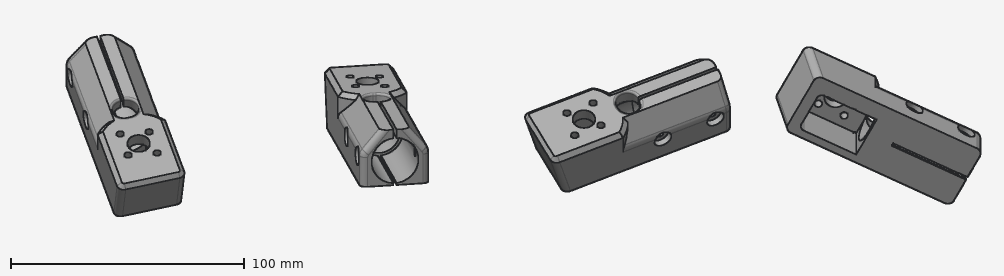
import cadquery as cq
import math

length = 85.25
width = 30.0
height = 25.2
half_width = width / 2
corner_radius = 3.0

neck_flat_width = 13.05
shoulder_height = 15.2
shoulder_radius = 4.7

motor_x = 63.3
head_radius = 18.8
top_chamfer = 2.1
end_undercut = 5.6

bore_z = 11.2
clamp_diameter = 20.4
clamp_depth = 36.0
bore_diameter = 18.0
slit_width = 1.4
opening_x = 42.4
opening_diameter = 10.15
opening_length = opening_diameter + slit_width
opening_radius = 1.0
bore_end = opening_x + opening_diameter / 2

screw_xs = (8.0, 33.0)
screw_z = 11.5
screw_diameter = 3.2
screw_head_diameter = 8.0
screw_head_depth = 3.0

shaft_diameter = 9.6
mount_diameter = 3.2
mount_y = 6.1
mount_spacing = 12.45
mount_skew = 1.1

pocket_end = 75.0
pocket_left = 7.6
pocket_right = -11.4
pocket_ceiling = 19.3
pocket_radius = 2.3


def make_neck():
    """Body from the clamp end to the motor axis, with sloped shoulders and rounded edges."""
    half_flat = neck_flat_width / 2
    profile = (
        cq.Workplane("YZ")
        .polyline([
            (-half_width, 0),
            (half_width, 0),
            (half_width, shoulder_height),
            (half_flat, height),
            (-half_flat, height),
            (-half_width, shoulder_height),
        ])
        .close()
        .extrude(motor_x)
    )
    for side in (-1, 1):
        shoulder = cq.selectors.NearestToPointSelector((motor_x / 2, side * half_width, shoulder_height))
        profile = profile.edges(shoulder).fillet(shoulder_radius)
    profile = profile.faces("<X").edges("not(#Z and (<Z or >Z))").fillet(corner_radius)
    return profile


def make_head():
    """Motor mount with a round front, an undercut end and a chamfered top."""
    arc_x = motor_x - math.sqrt(head_radius**2 - half_width**2)
    lean = math.atan(end_undercut / height)
    tip_x = length + top_chamfer * math.sin(lean)
    head = (
        cq.Workplane("XY")
        .moveTo(arc_x, -half_width)
        .lineTo(tip_x, -half_width)
        .lineTo(tip_x, half_width)
        .lineTo(arc_x, half_width)
        .threePointArc((motor_x - head_radius, 0), (arc_x, -half_width))
        .close()
        .extrude(height)
    )
    undercut = (
        cq.Workplane("XZ")
        .polyline([(tip_x - end_undercut, 0), (tip_x, height), (tip_x, 0)])
        .close()
        .extrude(half_width, both=True)
    )
    head = head.cut(undercut)
    for side in (-1, 1):
        corner_middle = (tip_x - end_undercut / 2, side * half_width, height / 2)
        corner = cq.selectors.NearestToPointSelector(corner_middle)
        head = head.edges(corner).fillet(corner_radius)
    return head.faces(">Z").chamfer(top_chamfer)


def make_opening():
    """Cutter for the slot-shaped opening above the bore, flared at its rim."""
    block = (
        cq.Workplane("XY")
        .workplane(offset=bore_z)
        .center(opening_x, 0)
        .rect(2 * opening_diameter, 2 * opening_length)
        .extrude(height - bore_z)
    )
    rounded = block.faces(">Z").workplane(origin=(opening_x, 0, height))
    rounded = rounded.slot2D(opening_length, opening_diameter, 90).cutThruAll()
    rim = cq.selectors.BoxSelector(
        (opening_x - opening_diameter / 2, -opening_length / 2, height - opening_radius),
        (opening_x + opening_diameter / 2, opening_length / 2, height + opening_radius),
    )
    rounded = rounded.edges(rim).fillet(opening_radius)
    return block.cut(rounded)


def make_bore():
    """Cutter for the stepped bore and the slit that lets the clamp close."""
    centre = cq.Workplane("YZ").center(0, bore_z)
    bore = centre.circle(bore_diameter / 2).extrude(bore_end)
    clamp = centre.circle(clamp_diameter / 2).extrude(clamp_depth)
    slit = cq.Workplane("XY").box(clamp_depth, slit_width, height, centered=(False, True, False))
    upper_slit = (
        cq.Workplane("XY")
        .workplane(offset=bore_z)
        .box(opening_x, slit_width, height - bore_z, centered=(False, True, False))
    )
    return bore.union(clamp).union(slit).union(upper_slit)


def make_screw_holes():
    """Cutter for the cross screws, counterbored on both sides."""
    points = [(x, screw_z) for x in screw_xs]
    holes = cq.Workplane("XZ").pushPoints(points).circle(screw_diameter / 2).extrude(half_width, both=True)
    for side in (-1, 1):
        seat = cq.Workplane("XZ", origin=(0, side * half_width, 0)).pushPoints(points)
        holes = holes.union(seat.circle(screw_head_diameter / 2).extrude(side * screw_head_depth))
    return holes


def make_motor_holes():
    """Cutter for the shaft hole and the skewed pattern of four mounting holes."""
    points = [
        (motor_x + end * mount_spacing / 2 + side * mount_skew, side * mount_y)
        for end in (-1, 1)
        for side in (-1, 1)
    ]
    shaft = cq.Workplane("XY").center(motor_x, 0).circle(shaft_diameter / 2).extrude(height)
    mounts = cq.Workplane("XY").pushPoints(points).circle(mount_diameter / 2).extrude(height)
    return shaft.union(mounts)


def make_pocket():
    """Cutter for the pocket below the motor plate, open at the bottom and reached by the bore."""
    return (
        cq.Workplane("XY")
        .moveTo((bore_end + pocket_end) / 2, (pocket_left + pocket_right) / 2)
        .rect(pocket_end - bore_end, pocket_left - pocket_right)
        .extrude(pocket_ceiling)
        .edges("|Z and >X")
        .fillet(pocket_radius)
    )


result = make_neck().union(make_head())
for cutter in (make_opening(), make_bore(), make_screw_holes(), make_motor_holes(), make_pocket()):
    result = result.cut(cutter)